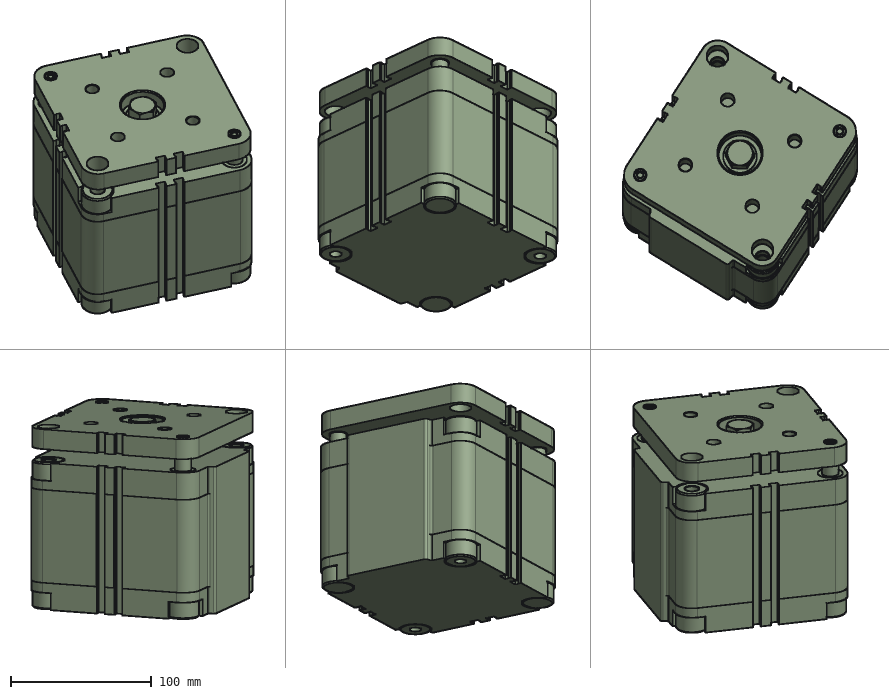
import cadquery as cq
import math

body_width = 128.0
body_height = 106.4
corner_radius = 12.5
overall_depth = 133.0
overall_height = 130.5

rib_height = overall_depth - body_width
rib_root_width = 69.2
rib_top_width = 66.5
rib_edge_radius = 2.0
rib_cap_root_radius = 0.8
rib_middle_root_radius = 1.6
lower_cap_height = 19.5
upper_cap_height = 19.5
cap_inset = 0.1

slot_pitch = 13.4
slot_mouth_width = 5.9
slot_mouth_chamfer = 0.3
slot_inner_width = 6.6
slot_lip = 2.4
slot_depth = 5.3

corner_offset = body_width / 2 - corner_radius
boss_diameter = 23.0
boss_chamfer = 1.0
notch_size = 19.0
top_notch_height = 12.9
bottom_notch_height = 12.2
screw_hole_diameter = 8.4
screw_recess_diameter = 9.8
screw_recess_chamfer = 0.4
screw_recess_depth = 10.0

plate_width = 126.6
plate_thickness = 14.4
plate_bottom = overall_height - plate_thickness
access_hole_diameter = 15.4
fixing_hole_offset = 28.2
fixing_hole_diameter = 9.8
thread_hole_diameter = 9.0
thread_hole_chamfer = 0.4
bolt_recess_diameter = 30.6
bolt_recess_chamfer = 0.9
bolt_recess_depth = 10.6

rod_diameter = 12.0
rod_collar_diameter = 13.0
rod_collar_height = 0.4
rod_insertion = upper_cap_height
rod_seat_diameter = 18.0
rod_seat_depth = 0.1
rod_screw_groove_diameter = 9.0
rod_screw_head_diameter = 8.0
rod_screw_groove_depth = 0.5
rod_screw_socket_flat_width = 4.0
rod_screw_socket_depth = 1.0
rod_screw_socket_chamfer = 0.5

piston_rod_diameter = 25.0
piston_rod_flat_width = 22.2
piston_rod_shoulder = 0.7
washer_diameter = 24.0
washer_thickness = 0.7
bolt_flat_width = 18.0
bolt_chamfer_height = 0.9
bolt_chamfer_width = 1.6
bolt_top_gap = 0.3

overlap = 1.3

screw_corners = [(-1, 1), (1, -1)]
rod_corners = [(-1, -1), (1, 1)]
all_corners = screw_corners + rod_corners


def scaled(corners, offset):
    return [(x * offset, y * offset) for x, y in corners]


def cylinders(points, diameter, bottom, height):
    """Equal upright cylinders at the given points."""
    return cq.Workplane(origin=(0, 0, bottom)).pushPoints(points).circle(diameter / 2).extrude(height)


def mouth_chamfers(points, diameter, size, top):
    """Cones that chamfer the upper mouths of holes."""
    cones = cq.Workplane(origin=(0, 0, top)).pushPoints(points).circle(diameter / 2 + size)
    return cones.extrude(-size, taper=45)


def rounded_block(width, bottom, height, radius):
    block = cq.Workplane(origin=(0, 0, bottom)).rect(width, width).extrude(height)
    return block.edges("|Z").fillet(radius)


def t_slots(width, bottom, height):
    """Pairs of upright T-slots with chamfered mouths on the -X, +X and -Y faces of a block."""
    face = -width / 2
    lip_back = -body_width / 2 + slot_lip
    floor = -body_width / 2 + slot_depth
    mouth_half = slot_mouth_width / 2
    inner_half = slot_inner_width / 2
    flared_half = mouth_half + slot_mouth_chamfer
    right_side = [
        (inner_half, floor),
        (inner_half, lip_back),
        (mouth_half, lip_back),
        (mouth_half, face + slot_mouth_chamfer),
        (flared_half, face),
        (flared_half, face - overlap),
    ]
    left_side = [(-x, y) for x, y in reversed(right_side)]
    profile = right_side + left_side
    slot = cq.Workplane(origin=(0, 0, bottom)).polyline(profile).close().extrude(height)
    pair = slot.translate((-slot_pitch / 2, 0, 0)).union(slot.translate((slot_pitch / 2, 0, 0)))
    slots = pair
    for angle in (90, -90):
        slots = slots.union(pair.rotate((0, 0, 0), (0, 0, 1), angle))
    return slots


def rib(bottom, height, root_radius):
    """Length of the tapered rib, rounded along its outer edges and along its root."""
    foot = body_width / 2
    profile = [
        (-rib_root_width / 2 - root_radius, foot - overlap),
        (-rib_root_width / 2 - root_radius, foot),
        (-rib_root_width / 2, foot),
        (-rib_top_width / 2, foot + rib_height),
        (rib_top_width / 2, foot + rib_height),
        (rib_root_width / 2, foot),
        (rib_root_width / 2 + root_radius, foot),
        (rib_root_width / 2 + root_radius, foot - overlap),
    ]
    bar = cq.Workplane(origin=(0, 0, bottom)).polyline(profile).close().extrude(height)
    bar = bar.edges("|Z and >Y").fillet(rib_edge_radius)
    root_edges = [(-rib_root_width / 2, foot), (rib_root_width / 2, foot)]
    for x, y in root_edges:
        root = cq.selectors.NearestToPointSelector((x, y, bottom + height / 2))
        bar = bar.edges(root).fillet(root_radius)
    return bar


def corner_notch(corner, bottom, height, outer_end):
    """Square corner cut that leaves a round screw boss standing, its outer end chamfered all round."""
    x, y = corner
    center = (body_width - notch_size) / 2
    block = cq.Workplane(origin=(x * center, y * center, bottom)).rect(notch_size, notch_size).extrude(height)
    boss = cylinders(scaled([corner], corner_offset), boss_diameter, bottom, height)
    chamfered_boss = boss.faces(outer_end).edges().chamfer(boss_chamfer)
    return block.union(boss).cut(chamfered_boss)


def make_housing():
    """Cylinder housing: a middle length between two slightly smaller end caps."""
    upper_cap_bottom = body_height - upper_cap_height
    cap_width = body_width - 2 * cap_inset
    housing = rounded_block(cap_width, 0, body_height, corner_radius)
    middle_height = upper_cap_bottom - lower_cap_height
    housing = housing.union(rounded_block(body_width, lower_cap_height, middle_height, corner_radius))
    housing = housing.union(rib(0, lower_cap_height, rib_cap_root_radius))
    housing = housing.union(rib(lower_cap_height, middle_height, rib_middle_root_radius))
    housing = housing.union(rib(upper_cap_bottom, upper_cap_height, rib_cap_root_radius))
    housing = housing.cut(t_slots(body_width, 0, body_height))
    for corner in all_corners:
        housing = housing.cut(corner_notch(corner, 0, bottom_notch_height, "<Z"))
    for corner in screw_corners:
        notch_bottom = body_height - top_notch_height
        housing = housing.cut(corner_notch(corner, notch_bottom, top_notch_height, ">Z"))
    screws = scaled(screw_corners, corner_offset)
    housing = housing.cut(cylinders(screws, screw_hole_diameter, 0, body_height))
    housing = housing.cut(
        cylinders(screws, screw_recess_diameter, body_height - screw_recess_depth, screw_recess_depth)
    )
    housing = housing.cut(mouth_chamfers(screws, screw_recess_diameter, screw_recess_chamfer, body_height))
    rods = scaled(rod_corners, corner_offset)
    housing = housing.cut(cylinders(rods, rod_diameter, body_height - rod_insertion, rod_insertion))
    return housing.cut(cylinders(rods, rod_seat_diameter, body_height - rod_seat_depth, rod_seat_depth))


def make_plate():
    plate = rounded_block(plate_width, plate_bottom, plate_thickness, corner_radius)
    plate = plate.cut(t_slots(plate_width, plate_bottom, plate_thickness))
    access = scaled(screw_corners, corner_offset)
    plate = plate.cut(cylinders(access, access_hole_diameter, plate_bottom, plate_thickness))
    plain = scaled(screw_corners, fixing_hole_offset)
    plate = plate.cut(cylinders(plain, fixing_hole_diameter, plate_bottom, plate_thickness))
    threaded = scaled(rod_corners, fixing_hole_offset)
    thread_holes = cylinders(threaded, thread_hole_diameter, plate_bottom, plate_thickness)
    plate = plate.cut(thread_holes)
    plate = plate.cut(mouth_chamfers(threaded, thread_hole_diameter, thread_hole_chamfer, overall_height))
    plate = plate.cut(
        cylinders([(0, 0)], bolt_recess_diameter, overall_height - bolt_recess_depth, bolt_recess_depth)
    )
    return plate.cut(mouth_chamfers([(0, 0)], bolt_recess_diameter, bolt_recess_chamfer, overall_height))


def make_guide_rods():
    points = scaled(rod_corners, corner_offset)
    bottom = body_height - rod_insertion
    rods = cylinders(points, rod_diameter, bottom, plate_bottom - bottom)
    collars = cylinders(points, rod_collar_diameter, plate_bottom - rod_collar_height, rod_collar_height)
    return rods.union(collars)


def rod_screw_heads():
    """Ring grooves and hexagon sockets that form the flush screw heads above the guide rods."""
    points = scaled(rod_corners, corner_offset)
    groove_bottom = overall_height - rod_screw_groove_depth
    grooves = cylinders(points, rod_screw_groove_diameter, groove_bottom, rod_screw_groove_depth)
    grooves = grooves.cut(cylinders(points, rod_screw_head_diameter, groove_bottom, rod_screw_groove_depth))
    socket_corner_diameter = rod_screw_socket_flat_width / math.cos(math.pi / 6)
    socket_plane = cq.Workplane(origin=(0, 0, overall_height - rod_screw_socket_depth))
    sockets = socket_plane.pushPoints(points).polygon(6, socket_corner_diameter).extrude(rod_screw_socket_depth)
    bevels = mouth_chamfers(points, rod_screw_socket_flat_width, rod_screw_socket_chamfer, overall_height)
    return grooves.union(sockets).union(bevels)


def make_piston_rod():
    """Round rod end that rests on the housing, with two wrench flats facing -Y and +Y."""
    shoulder = cylinders([(0, 0)], piston_rod_diameter, body_height, piston_rod_shoulder)
    neck_bottom = body_height + piston_rod_shoulder
    neck_height = plate_bottom - neck_bottom
    neck = cylinders([(0, 0)], piston_rod_diameter, neck_bottom, neck_height)
    flats = cq.Workplane(origin=(0, 0, neck_bottom)).rect(piston_rod_diameter, piston_rod_flat_width)
    return shoulder.union(neck.intersect(flats.extrude(neck_height)))


def make_bolt():
    """Hexagon bolt head with a turned top chamfer, on a round washer face."""
    washer_bottom = overall_height - bolt_recess_depth
    washer = cylinders([(0, 0)], washer_diameter, washer_bottom, washer_thickness)
    head_height = bolt_recess_depth - bolt_top_gap
    corner_diameter = bolt_flat_width / math.cos(math.pi / 6)
    hexagon = cq.Workplane(origin=(0, 0, washer_bottom)).polygon(6, corner_diameter).extrude(head_height)
    hexagon = hexagon.rotate((0, 0, 0), (0, 0, 1), 30)
    turned_diameter = bolt_flat_width + 2 * bolt_chamfer_width
    turned = cylinders([(0, 0)], turned_diameter, washer_bottom, head_height)
    turned = turned.faces(">Z").edges().chamfer(bolt_chamfer_height, bolt_chamfer_width)
    return washer.union(hexagon.intersect(turned))


def make_slide():
    """Front plate joined to the guide rods, the piston rod and the central bolt."""
    slide = make_plate().union(make_guide_rods()).cut(rod_screw_heads())
    return slide.union(make_piston_rod()).union(make_bolt())


housing = make_housing()
slide = make_slide()

result = cq.Compound.makeCompound([housing.val(), slide.val()])